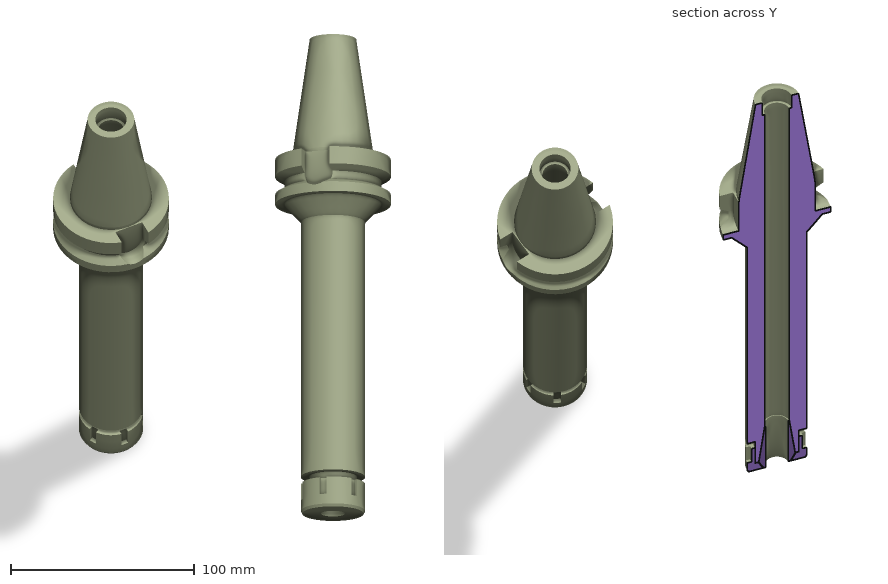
import cadquery as cq
import math

taper_length = 65.4
taper_ratio = 7 / 24
gauge_diameter = 44.45
taper_top_diameter = gauge_diameter - taper_length * taper_ratio
nose_z = -200.0

flange_diameter = 63.0
flange_top_z = -2.0
flange_bottom_z = -27.0
groove_diameter = 53.0
groove_center_z = -16.6
groove_mouth_width = 10.0
groove_wall_angle = 30.0
groove_wall_run = (flange_diameter - groove_diameter) / 2
groove_floor_width = groove_mouth_width - 2 * groove_wall_run * math.tan(math.radians(groove_wall_angle))

keyway_width = 16.1
keyway_floor_radius = 22.5
keyway_bottom_z = -23.0

shank_diameter = 35.0
shank_cone_diameter = 53.0
shank_cone_bottom_z = -37.0
shank_bottom_z = -179.5

neck_diameter = 26.0
neck_bottom_z = -195.0

top_bore_diameter = 17.0
top_bore_depth = 9.0
bore_diameter = 14.0

nut_diameter = shank_diameter
nut_top_z = -183.5
nut_chamfer_height = 1.5
nut_chamfer_width = 0.8
wrench_slot_count = 6
wrench_slot_width = 4.0
wrench_slot_length = 9.5
wrench_slot_depth = 2.5

collet_diameter = 21.0
collet_bore_diameter = 13.0
collet_seat_angle = 8.0
collet_nose_angle = 30.0
collet_nose_taper = (neck_bottom_z - nose_z) * math.tan(math.radians(collet_nose_angle))
collet_nose_diameter = collet_diameter - 2 * collet_nose_taper
collet_seat_length = (collet_diameter - bore_diameter) / 2 / math.tan(math.radians(collet_seat_angle))
collet_top_z = neck_bottom_z + collet_seat_length


def revolve_profile(diameters_and_heights):
    """Revolve a closed half outline, given as (diameter, z) corners, about the Z axis."""
    corners = [(diameter / 2, z) for diameter, z in diameters_and_heights]
    return cq.Workplane("XZ").polyline(corners).close().revolve(360, (0, 0, 0), (0, 1, 0))


def make_keyway(side):
    """Cutter for one keyway: a slot with a round lower end; side is +1 or -1 along X."""
    radius = keyway_width / 2
    round_center_z = keyway_bottom_z + radius
    profile = (
        cq.Workplane("YZ", origin=(side * keyway_floor_radius, 0, 0))
        .moveTo(-radius, flange_top_z)
        .lineTo(-radius, round_center_z)
        .threePointArc((0, keyway_bottom_z), (radius, round_center_z))
        .lineTo(radius, flange_top_z)
        .close()
    )
    return profile.extrude(side * flange_diameter / 2)


def make_holder():
    """Taper, flange, shank and threaded neck in one piece, bored through, with a conical collet seat."""
    body = revolve_profile([
        (top_bore_diameter, taper_length),
        (taper_top_diameter, taper_length),
        (gauge_diameter, 0),
        (gauge_diameter, flange_top_z),
        (flange_diameter, flange_top_z),
        (flange_diameter, groove_center_z + groove_mouth_width / 2),
        (groove_diameter, groove_center_z + groove_floor_width / 2),
        (groove_diameter, groove_center_z - groove_floor_width / 2),
        (flange_diameter, groove_center_z - groove_mouth_width / 2),
        (flange_diameter, flange_bottom_z),
        (shank_cone_diameter, flange_bottom_z),
        (shank_diameter, shank_cone_bottom_z),
        (shank_diameter, shank_bottom_z),
        (neck_diameter, shank_bottom_z),
        (neck_diameter, neck_bottom_z),
        (collet_diameter, neck_bottom_z),
        (bore_diameter, collet_top_z),
        (bore_diameter, taper_length - top_bore_depth),
        (top_bore_diameter, taper_length - top_bore_depth),
    ])
    for side in (1, -1):
        body = body.cut(make_keyway(side))
    return body


def make_nut():
    """Clamping nut: screwed on the neck, with wrench slots open at its top face."""
    body = revolve_profile([
        (neck_diameter, nut_top_z),
        (nut_diameter, nut_top_z),
        (nut_diameter, nose_z + nut_chamfer_height),
        (nut_diameter - 2 * nut_chamfer_width, nose_z),
        (collet_nose_diameter, nose_z),
        (collet_diameter, neck_bottom_z),
        (neck_diameter, neck_bottom_z),
    ])
    slot = cq.Workplane("XY").box(
        2 * wrench_slot_depth, wrench_slot_width, 2 * wrench_slot_length
    ).translate((nut_diameter / 2, 0, nut_top_z))
    for index in range(wrench_slot_count):
        body = body.cut(slot.rotate((0, 0, 0), (0, 0, 1), index * 360 / wrench_slot_count))
    return body


def make_collet():
    """Collet: long cone in the holder's seat and short nose cone in the nut."""
    return revolve_profile([
        (collet_bore_diameter, collet_top_z),
        (bore_diameter, collet_top_z),
        (collet_diameter, neck_bottom_z),
        (collet_nose_diameter, nose_z),
        (collet_bore_diameter, nose_z),
    ])


holder = make_holder()
nut = make_nut()
collet = make_collet()
result = cq.Compound.makeCompound([holder.val(), nut.val(), collet.val()])